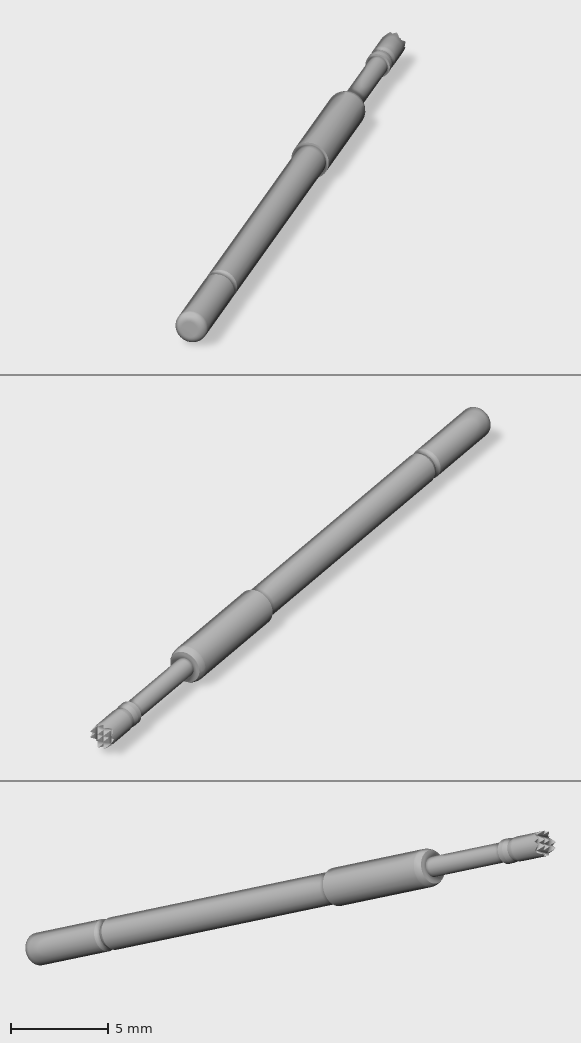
import cadquery as cq
import math


tail_end_y = -22.0
collar_top_y = 7.0
crown_tip_y = 15.3

barrel_radius = 0.85
tail_rounding = 0.4
collar_radius = 1.0
collar_nose_length = 0.4
collar_nose_drop = 0.13
crimp_y = -16.53
crimp_depth = 0.15
crimp_upper_width = 0.3
crimp_lower_width = 0.25

stem_radius = 0.525
head_radius = 0.65
head_length = 2.95
head_groove_offset = 2.3
head_groove_half_width = 0.33
head_groove_depth = 0.06
plunger_root_depth = 1.0

inner_point_offset = 0.17
serration_steepness = 1.6
cutter_half_length = 2 * head_radius


def tangent_arc_radius(length, drop):
    """Radius of an arc that leaves a straight side tangentially and falls by drop over length."""
    return (length**2 + drop**2) / (2 * drop)


def tangent_arc_middle(length, drop):
    """Axial run and radial drop at the middle of that arc, from its tangent end."""
    radius = tangent_arc_radius(length, drop)
    half_angle = math.asin(length / radius) / 2
    return radius * math.sin(half_angle), radius * (1 - math.cos(half_angle))


def make_barrel():
    """Barrel with rounded tail, crimp groove and collar, turned about Y."""
    crimp_radius = barrel_radius - crimp_depth
    tail_flat_radius = barrel_radius - tail_rounding
    rounding_inset = tail_rounding * (1 - math.sqrt(0.5))
    nose_run, nose_drop = tangent_arc_middle(collar_nose_length, collar_nose_drop)
    nose_base_y = collar_top_y - collar_nose_length
    profile = (
        cq.Workplane("XY")
        .moveTo(0, tail_end_y)
        .lineTo(-tail_flat_radius, tail_end_y)
        .threePointArc(
            (-barrel_radius + rounding_inset, tail_end_y + rounding_inset),
            (-barrel_radius, tail_end_y + tail_rounding),
        )
        .lineTo(-barrel_radius, crimp_y - crimp_lower_width)
        .lineTo(-crimp_radius, crimp_y)
        .lineTo(-barrel_radius, crimp_y + crimp_upper_width)
        .lineTo(-barrel_radius, 0)
        .lineTo(-collar_radius, 0)
        .lineTo(-collar_radius, nose_base_y)
        .threePointArc(
            (-collar_radius + nose_drop, nose_base_y + nose_run),
            (-collar_radius + collar_nose_drop, collar_top_y),
        )
        .lineTo(0, collar_top_y)
        .close()
    )
    return profile.revolve(360, (0, 0), (0, 1))


def make_plunger():
    """Plunger stem and grooved head, turned about Y, rooted inside the collar."""
    root_y = collar_top_y - plunger_root_depth
    head_base_y = crown_tip_y - head_length
    groove_y = crown_tip_y - head_groove_offset
    run, drop = tangent_arc_middle(head_groove_half_width, head_groove_depth)
    lower_edge_y = groove_y - head_groove_half_width
    upper_edge_y = groove_y + head_groove_half_width
    groove_bottom = (groove_y, head_radius - head_groove_depth)
    profile = (
        cq.Workplane("YZ")
        .moveTo(root_y, 0)
        .lineTo(root_y, stem_radius)
        .lineTo(head_base_y, stem_radius)
        .lineTo(head_base_y, head_radius)
        .lineTo(lower_edge_y, head_radius)
        .threePointArc((lower_edge_y + run, head_radius - drop), groove_bottom)
        .threePointArc((upper_edge_y - run, head_radius - drop), (upper_edge_y, head_radius))
        .lineTo(crown_tip_y, head_radius)
        .lineTo(crown_tip_y, 0)
        .close()
    )
    return profile.revolve(360, (0, 0), (1, 0))


def make_serration(center_x, half_width):
    """V cutter running along Z through the tip, centered on center_x."""
    bottom_y = crown_tip_y - half_width * serration_steepness
    corners = [
        (center_x, bottom_y),
        (center_x + half_width, crown_tip_y),
        (center_x - half_width, crown_tip_y),
    ]
    return cq.Workplane("XY").polyline(corners).close().extrude(cutter_half_length, both=True)


def cut_serrations(plunger):
    """Cut three V grooves each way across the tip, crossing at right angles, to leave a grid of points."""
    middle_half_width = inner_point_offset
    outer_half_width = (head_radius - inner_point_offset) / 2
    outer_center = inner_point_offset + outer_half_width
    grooves = [
        (-outer_center, outer_half_width),
        (0, middle_half_width),
        (outer_center, outer_half_width),
    ]
    for center_x, half_width in grooves:
        cutter = make_serration(center_x, half_width)
        plunger = plunger.cut(cutter)
        plunger = plunger.cut(cutter.rotate((0, 0, 0), (0, 1, 0), 90))
    return plunger


result = make_barrel().union(cut_serrations(make_plunger()))